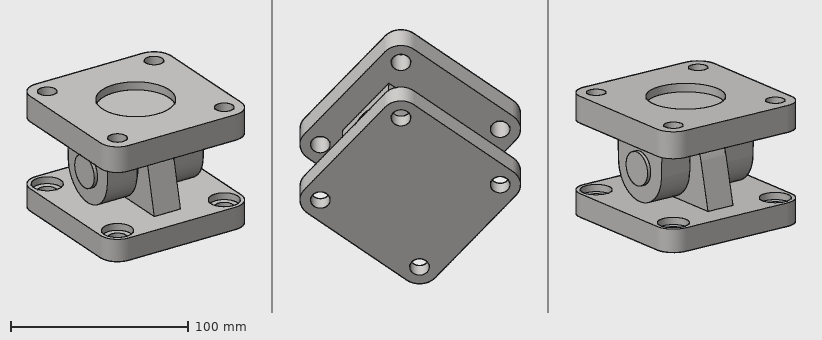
import cadquery as cq
import math

plate_side = 95.0
corner_radius = 11.5
hole_spacing = plate_side - 2 * corner_radius
bolt_hole_diameter = 11.0
total_height = 72.0
base_thickness = 14.1
upper_thickness = 16.1
upper_bottom = total_height - upper_thickness
counterbore_diameter = 18.05
counterbore_depth = 4.3
recess_diameter = 45.0
recess_depth = 5.0

pivot_height = total_height / 2
pin_diameter = 20.0
pin_length = 69.2
ball_radius = 18.0

eye_radius = 26.6
eye_thickness = 17.7
eye_foot_half_width = 32.4

lug_radius = 20.0
lug_root_half_width = 20.7
lug_outer_y = 32.4
lug_gap = 24.7
lug_thickness = lug_outer_y - lug_gap / 2
eye_clearance = 1.9


def plate(bottom, thickness):
    """Square plate with rounded corners and four bolt holes."""
    return (
        cq.Workplane("XY", origin=(0, 0, bottom))
        .rect(plate_side, plate_side)
        .extrude(thickness)
        .edges("|Z").fillet(corner_radius)
        .faces(">Z").workplane()
        .rect(hole_spacing, hole_spacing, forConstruction=True).vertices()
        .hole(bolt_hole_diameter)
    )


def cylinder_on_pivot(radius, length):
    """Cylinder along Y, centred on the pivot."""
    return cq.Workplane("XZ", origin=(0, 0, pivot_height)).circle(radius).extrude(length / 2, both=True)


def tapered_lug(root_half_width, root_height, tip_radius, thickness):
    """Lug centred on Y = 0: straight flanks from its root run tangent into a round tip about the pivot."""
    root_offset = root_height - pivot_height
    tip_side = -math.copysign(1, root_offset)
    root_distance = math.hypot(root_half_width, root_offset)
    root_angle = math.atan2(root_offset, root_half_width)
    tangent_angle = root_angle + tip_side * math.acos(tip_radius / root_distance)
    tangent_x = tip_radius * math.cos(tangent_angle)
    tangent_z = pivot_height + tip_radius * math.sin(tangent_angle)
    tip_z = pivot_height + tip_side * tip_radius
    return (
        cq.Workplane("XZ")
        .moveTo(-root_half_width, root_height)
        .lineTo(root_half_width, root_height)
        .lineTo(tangent_x, tangent_z)
        .threePointArc((0, tip_z), (-tangent_x, tangent_z))
        .close()
        .extrude(thickness / 2, both=True)
    )


def ball():
    return cq.Workplane("XY", origin=(0, 0, pivot_height)).sphere(ball_radius)


def make_base():
    """Lower plate with counterbored holes and an eye that holds the ball in a spherical seat."""
    counterbores = (
        cq.Workplane("XY", origin=(0, 0, base_thickness))
        .rect(hole_spacing, hole_spacing, forConstruction=True).vertices()
        .circle(counterbore_diameter / 2)
        .extrude(-counterbore_depth)
    )
    eye = tapered_lug(eye_foot_half_width, base_thickness, eye_radius, eye_thickness)
    return plate(0, base_thickness).cut(counterbores).union(eye).cut(ball())


def make_fork():
    """Upper plate with a round recess on top and two bored lugs below."""
    body = plate(upper_bottom, upper_thickness)
    recess = (
        cq.Workplane("XY", origin=(0, 0, total_height))
        .circle(recess_diameter / 2)
        .extrude(-recess_depth)
    )
    eye_relief = cylinder_on_pivot(eye_radius + eye_clearance, lug_gap)
    body = body.cut(recess).cut(eye_relief)
    lug = tapered_lug(lug_root_half_width, upper_bottom, lug_radius, lug_thickness)
    lug_center_y = (lug_gap + lug_thickness) / 2
    for side in (-1, 1):
        body = body.union(lug.translate((0, side * lug_center_y, 0)))
    return body.cut(cylinder_on_pivot(pin_diameter / 2, pin_length))


def make_ball_pin():
    """Pivot pin with a ball in the middle, cut flat where it meets the lugs."""
    flattened_ball = ball().intersect(cylinder_on_pivot(ball_radius, lug_gap))
    return cylinder_on_pivot(pin_diameter / 2, pin_length).union(flattened_ball)


base = make_base()
fork = make_fork()
ball_pin = make_ball_pin()

result = cq.Compound.makeCompound([part.solids().val() for part in (base, fork, ball_pin)])